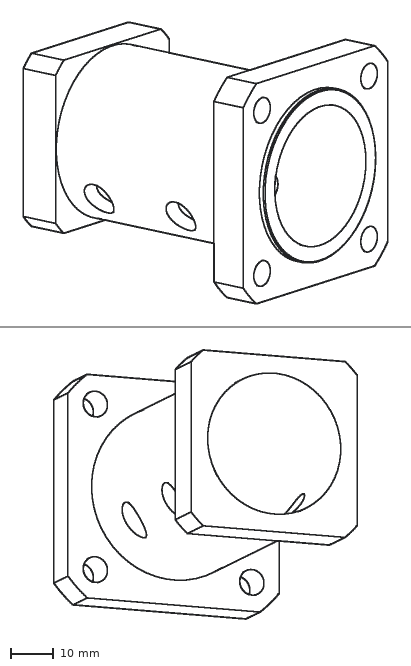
import cadquery as cq

total_length = 73.5
end_flange_thickness = 9.9
mount_flange_start = 63.05
mount_flange_thickness = 9.0

tube_diameter = 42.0
bore_diameter = 34.0
spigot_chamfer = 0.3

end_flange_side = 42.5
end_flange_corner_diameter = 55.85
mount_flange_side = 54.0
mount_flange_corner_diameter = 69.8

bolt_hole_diameter = 6.2
bolt_spacing = 40.0

cross_hole_diameter = 8.0
cross_hole_drop = 11.2
first_cross_hole_x = 20.3
cross_hole_pitch = 25.0
cross_hole_count = 2


def turned_square(start, thickness, side, corner_diameter):
    """Square plate normal to X, its corners rounded by a concentric circle."""
    plane = cq.Workplane("YZ", origin=(start, 0, 0))
    square = plane.rect(side, side).extrude(thickness)
    disc = plane.circle(corner_diameter / 2).extrude(thickness)
    return square.intersect(disc)


tube = cq.Workplane("YZ").circle(tube_diameter / 2).extrude(total_length)
tube = tube.faces(">X").edges().chamfer(spigot_chamfer)

end_flange = turned_square(0, end_flange_thickness, end_flange_side, end_flange_corner_diameter)
mount_flange = turned_square(
    mount_flange_start, mount_flange_thickness, mount_flange_side, mount_flange_corner_diameter
)
bolt_holes = (
    cq.Workplane("YZ", origin=(mount_flange_start, 0, 0))
    .rect(bolt_spacing, bolt_spacing, forConstruction=True)
    .vertices()
    .circle(bolt_hole_diameter / 2)
    .extrude(mount_flange_thickness)
)
mount_flange = mount_flange.cut(bolt_holes)

bore = cq.Workplane("YZ").circle(bore_diameter / 2).extrude(total_length)

cross_hole_centres = [
    (first_cross_hole_x + i * cross_hole_pitch, -cross_hole_drop) for i in range(cross_hole_count)
]
cross_holes = (
    cq.Workplane("XZ")
    .pushPoints(cross_hole_centres)
    .circle(cross_hole_diameter / 2)
    .extrude(tube_diameter / 2, both=True)
)

result = tube.union(end_flange).union(mount_flange).cut(bore).cut(cross_holes)